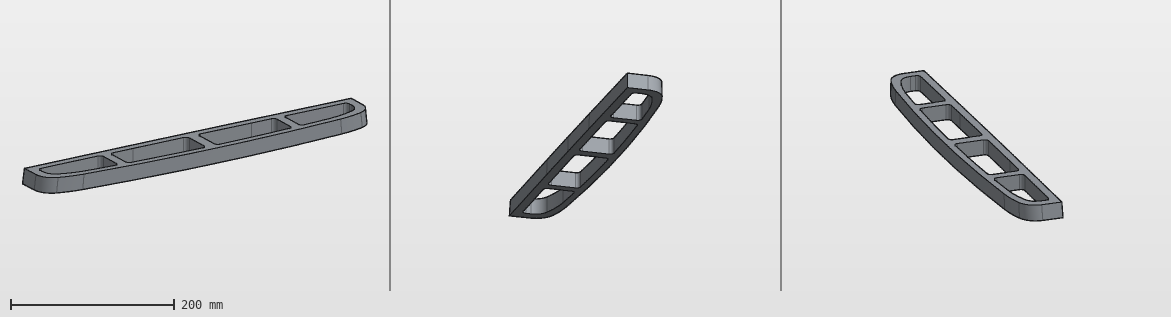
import cadquery as cq
import math

LENGTH = 478.37
WIDTH = 65.28
HEIGHT = 20.0
HALF_LENGTH = LENGTH / 2

TOP_SCALE = 0.99

BOW_HALF_LENGTH = 86.0
BOW_RADIUS = 21000.0

FLANK_RADIUS = 2400.0
BLEND_RADIUS = 150.0
CORNER_RADIUS = 25.0
CORNER_START_X = 27.5
END_FALL = 0.3

LEFT_WALL = 11.7
RIGHT_WALL = 9.6
END_WALL = 15.2
INSET_HALF_LENGTH = HALF_LENGTH - END_WALL
INSET_FLANK_RADIUS = FLANK_RADIUS - RIGHT_WALL
INSET_BLEND_RADIUS = 130.0
INSET_CORNER_RADIUS = 18.0
INSET_CORNER_START_X = 24.0

MIDDLE_BAR_HALF_WIDTH = 7.3
OUTER_BAR_INNER_Y = 119.5
OUTER_BAR_OUTER_Y = 132.0
OPENING_FILLET = 5.0


def point_towards(center, target, radius):
    """Point on a circle about center, in the direction of target."""
    dx = target[0] - center[0]
    dy = target[1] - center[1]
    distance = math.hypot(dx, dy)
    return (center[0] + radius * dx / distance, center[1] + radius * dy / distance)


def arc_middle(center, radius, start, end):
    """Point halfway along the shorter arc from start to end."""
    chord_middle = ((start[0] + end[0]) / 2, (start[1] + end[1]) / 2)
    return point_towards(center, chord_middle, radius)


def find_blend_center(flank_center, flank_radius, blend_radius, corner_center, corner_radius):
    """Center of the arc that is tangent inside the flank arc and around the corner arc."""
    to_flank = flank_radius - blend_radius
    to_corner = blend_radius - corner_radius
    dx = corner_center[0] - flank_center[0]
    dy = corner_center[1] - flank_center[1]
    distance = math.hypot(dx, dy)
    along = (to_flank**2 - to_corner**2 + distance**2) / (2 * distance)
    across = math.sqrt(to_flank**2 - along**2)
    return (
        flank_center[0] + (along * dx + across * dy) / distance,
        flank_center[1] + (along * dy - across * dx) / distance,
    )


def mirrored(point):
    """The same point on the other side of the X axis."""
    return (point[0], -point[1])


def outline(
    left_x, right_x, half_length, flank_radius, blend_radius, corner_radius, corner_start_x, end_fall=0.0
):
    """Closed outline, symmetric about the X axis: bowed side, flat ends, rounded corners and flank."""
    bow_center = (left_x + BOW_RADIUS, 0)
    bow_angle = math.asin(BOW_HALF_LENGTH / BOW_RADIUS)
    bow_start = (left_x, 0)
    bow_end = (bow_center[0] - BOW_RADIUS * math.cos(bow_angle), BOW_HALF_LENGTH)
    bow_middle = arc_middle(bow_center, BOW_RADIUS, bow_start, bow_end)
    straight_run = half_length - BOW_HALF_LENGTH
    end_corner = (bow_end[0] + straight_run * math.tan(bow_angle), half_length)

    corner_start = (corner_start_x, half_length - end_fall)
    corner_center = (corner_start[0], corner_start[1] - corner_radius)
    flank_center = (right_x - flank_radius, 0)
    blend_center = find_blend_center(
        flank_center, flank_radius, blend_radius, corner_center, corner_radius
    )
    corner_end = point_towards(blend_center, corner_center, blend_radius)
    flank_start = point_towards(flank_center, blend_center, flank_radius)
    corner_middle = arc_middle(corner_center, corner_radius, corner_start, corner_end)
    blend_middle = arc_middle(blend_center, blend_radius, corner_end, flank_start)

    return (
        cq.Workplane("XY")
        .moveTo(*bow_start)
        .threePointArc(bow_middle, bow_end)
        .lineTo(*end_corner)
        .lineTo(*corner_start)
        .threePointArc(corner_middle, corner_end)
        .threePointArc(blend_middle, flank_start)
        .threePointArc((right_x, 0), mirrored(flank_start))
        .threePointArc(mirrored(blend_middle), mirrored(corner_end))
        .threePointArc(mirrored(corner_middle), mirrored(corner_start))
        .lineTo(*mirrored(end_corner))
        .lineTo(*mirrored(bow_end))
        .threePointArc(mirrored(bow_middle), bow_start)
        .close()
    )


def make_body():
    """Bar whose ends and bowed side lean inwards towards the smaller top face."""
    bottom = outline(
        0, WIDTH, HALF_LENGTH, FLANK_RADIUS, BLEND_RADIUS, CORNER_RADIUS, CORNER_START_X, END_FALL
    ).val()
    top_shift = WIDTH * (1 - TOP_SCALE)
    top = bottom.scale(TOP_SCALE).translate((top_shift, 0, HEIGHT))
    return cq.Workplane("XY").add(cq.Solid.makeLoft([bottom, top], True))


def make_opening(low_y, high_y):
    """Straight-walled slice of the inset outline between two Y positions, corners rounded."""
    inset = outline(
        LEFT_WALL,
        WIDTH - RIGHT_WALL,
        INSET_HALF_LENGTH,
        INSET_FLANK_RADIUS,
        INSET_BLEND_RADIUS,
        INSET_CORNER_RADIUS,
        INSET_CORNER_START_X,
    ).extrude(HEIGHT)
    slab = cq.Workplane("XY").box(WIDTH, high_y - low_y, HEIGHT, centered=False).translate((0, low_y, 0))
    opening = inset.intersect(slab)

    near_corners = opening.faces("<Y").edges("|Z")
    far_corners = opening.faces(">Y").edges("|Z")
    if high_y == INSET_HALF_LENGTH:
        far_corners = far_corners.edges("<X")
    return near_corners.add(far_corners).fillet(OPENING_FILLET)


result = make_body()
opening_spans = (
    (MIDDLE_BAR_HALF_WIDTH, OUTER_BAR_INNER_Y),
    (OUTER_BAR_OUTER_Y, INSET_HALF_LENGTH),
)
for low_y, high_y in opening_spans:
    opening = make_opening(low_y, high_y)
    result = result.cut(opening).cut(opening.mirror("XZ"))